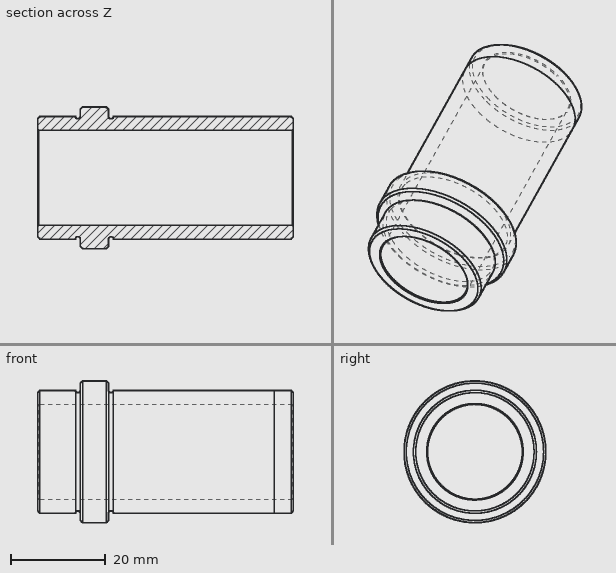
import cadquery as cq

length = 54.0
body_diameter = 26.0
collar_diameter = 30.0
bore_diameter = 20.0
collar_start = 9.0
collar_width = 6.0
edge_chamfer = 0.5
bore_chamfer = 0.2
groove_radius = 0.5
lead_length = 4.0
lead_clearance = 0.005

x_min = -length / 2
x_max = length / 2
collar_left = x_min + collar_start
collar_right = collar_left + collar_width


def cylinder(x_start, x_end, diameter):
    """Solid cylinder along X between two stations."""
    return cq.Workplane("YZ", origin=(x_start, 0, 0)).circle(diameter / 2).extrude(x_end - x_start)


def make_sleeve():
    """Main barrel with a reduced lead-in and chamfered outer ends."""
    lead_start = x_max - lead_length
    barrel = cylinder(x_min, lead_start, body_diameter).faces("<X").chamfer(edge_chamfer)
    lead = cylinder(lead_start, x_max, body_diameter - lead_clearance).faces(">X").chamfer(edge_chamfer)
    return barrel.union(lead)


def make_collar():
    """Locating collar with both rims chamfered."""
    return cylinder(collar_left, collar_right, collar_diameter).edges().chamfer(edge_chamfer)


def make_relief_groove(x_centre):
    """Ring of round section that cuts a half-round groove into the barrel."""
    return (
        cq.Workplane("XY")
        .center(x_centre, body_diameter / 2)
        .circle(groove_radius)
        .revolve(360, (-x_centre, -body_diameter / 2), (1 - x_centre, -body_diameter / 2))
    )


def make_bore():
    """Through bore widening in a small chamfer at each mouth."""
    bore = cylinder(x_min, x_max, bore_diameter)
    for x_end, direction in ((x_min, 1), (x_max, -1)):
        mouth = (
            cq.Workplane("XY")
            .moveTo(x_end, 0)
            .lineTo(x_end, bore_diameter / 2 + bore_chamfer)
            .lineTo(x_end + direction * bore_chamfer, bore_diameter / 2)
            .lineTo(x_end + direction * bore_chamfer, 0)
            .close()
            .revolve(360, (0, 0), (1, 0))
        )
        bore = bore.union(mouth)
    return bore


result = make_sleeve().union(make_collar())
for groove_centre in (collar_left - groove_radius, collar_right + groove_radius):
    result = result.cut(make_relief_groove(groove_centre))
result = result.cut(make_bore())